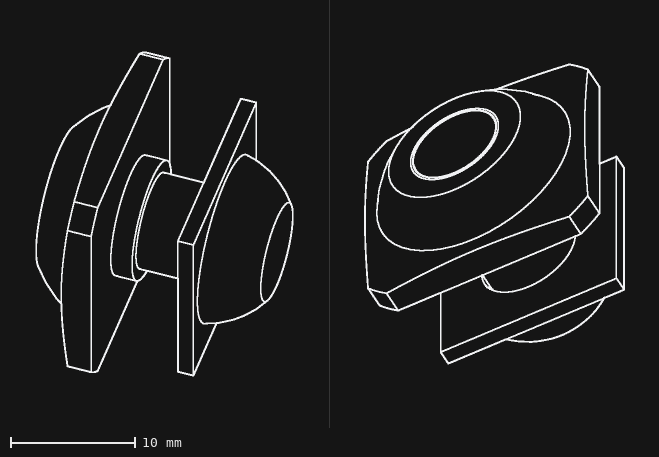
import cadquery as cq
import math


flange_side = 20.0
flange_corner_radius = 13.0
flange_back_x = 6.0
crown_sphere_radius = 10.0
crown_face_radius = 6.0
crown_base_radius = 8.8
cone_edge_x = 4.0
collar_radius = 5.0
collar_end_x = 7.8

shank_radius = 4.0
groove_outer_radius = 3.8
groove_inner_radius = 3.75
groove_depth = 0.2
dome_base_radius = 7.0
dome_tip_radius = 4.1
rivet_end_x = 18.4

washer_side = 16.0
washer_front_x = 12.68
washer_thickness = 1.32
washer_back_x = washer_front_x + washer_thickness
washer_hole_radius = 4.25


def cylinder(radius, start_x, end_x):
    """Solid cylinder along the X axis."""
    return cq.Workplane("YZ").workplane(offset=start_x).circle(radius).extrude(end_x - start_x)


def square_block(side, start_x, end_x):
    """Square block centred on the X axis."""
    return cq.Workplane("YZ").workplane(offset=start_x).rect(side, side).extrude(end_x - start_x)


def revolve_about_x(profile):
    """Full turn of a closed XY profile about the X axis."""
    return profile.revolve(360, (0, 0, 0), (1, 0, 0))


def make_head():
    """Square-flanged head with a through hole for the shank."""
    sphere_center_x = math.sqrt(crown_sphere_radius**2 - crown_face_radius**2)
    crown_base_x = sphere_center_x - math.sqrt(crown_sphere_radius**2 - crown_base_radius**2)
    turned = revolve_about_x(
        cq.Workplane("XY")
        .lineTo(0, crown_face_radius)
        .radiusArc((crown_base_x, crown_base_radius), crown_sphere_radius)
        .lineTo(cone_edge_x, flange_corner_radius)
        .lineTo(flange_back_x, flange_corner_radius)
        .lineTo(flange_back_x, 0)
        .close()
    )
    head = turned.intersect(square_block(flange_side, 0, flange_back_x))
    head = head.union(cylinder(collar_radius, flange_back_x, collar_end_x))
    return head.cut(cylinder(shank_radius, 0, collar_end_x))


def make_dome():
    """Truncated spherical dome behind the washer, its sphere centred on the X axis."""
    dome_length = rivet_end_x - washer_back_x
    center_setback = (dome_base_radius**2 - dome_tip_radius**2 - dome_length**2) / (2 * dome_length)
    dome_sphere_radius = math.hypot(dome_base_radius, center_setback)
    return revolve_about_x(
        cq.Workplane("XY")
        .moveTo(washer_back_x, 0)
        .lineTo(washer_back_x, dome_base_radius)
        .radiusArc((rivet_end_x, dome_tip_radius), dome_sphere_radius)
        .lineTo(rivet_end_x, 0)
        .close()
    )


def make_rivet():
    """Shank and dome as one solid, with a fine ring groove in the shank end."""
    shank = cylinder(shank_radius, 0, washer_back_x)
    groove = cylinder(groove_outer_radius, 0, groove_depth).cut(cylinder(groove_inner_radius, 0, groove_depth))
    return shank.cut(groove).union(make_dome())


def make_washer():
    """Square plate with a round clearance hole, resting on the dome base."""
    plate = square_block(washer_side, washer_front_x, washer_back_x)
    return plate.cut(cylinder(washer_hole_radius, washer_front_x, washer_back_x))


head = make_head()
rivet = make_rivet()
washer = make_washer()

result = cq.Compound.makeCompound([head.val(), rivet.val(), washer.val()])